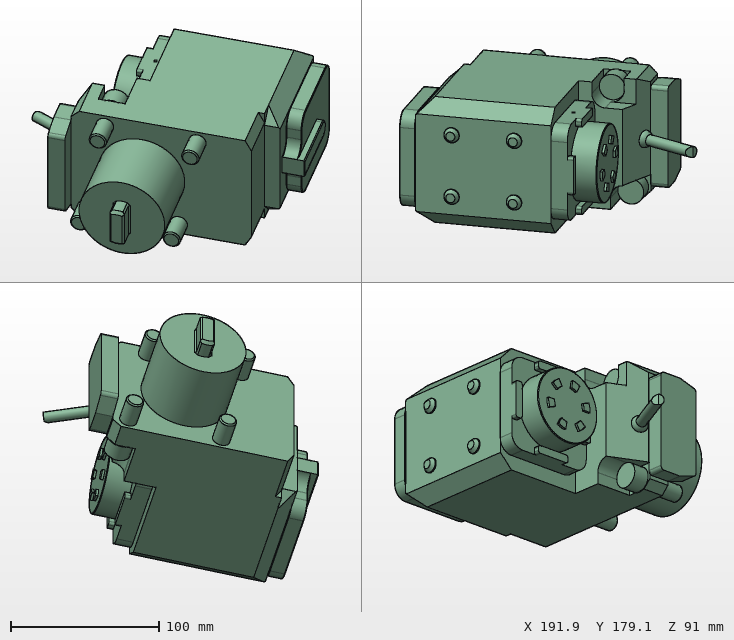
import cadquery as cq
import math


half_height = 44.7
base_left = -49.7
base_right = 76.7
base_thickness = 32.0
slope_start = 17.8
shelf_top = 45.5
shelf_left = -37.8
base_corner = 5.8
right_corner_x = 4.5
right_corner_z = 7.9

housing_left = -7.3
housing_right = 87.7
housing_back = 114.0
long_chamfer = 10.0
right_chamfer = 11.0

bolt_diameter = 12.0
bolt_end = -18.5
bolt_tip_chamfer = 1.0
head_diameter = 18.0
head_seat = 16.5
head_top = 28.5
head_pocket_diameter = 18.8
bolt_height = 36.5
upper_bolt_x = -25.9
lower_bolt_x = -39.0
bolt_spacing = 64.8

drum_diameter = 60.0
drum_end = -49.0
key_end = -61.5
key_width = 10.0
key_length = 28.4
key_foot_width = 1.2
key_foot_height = 1.5
key_corner = 2.9
key_side_chamfer = 1.2
key_end_chamfer = 2.1

block_left = -61.8
block_half_height = 36.0
block_front_half_height = 31.7
block_back = 17.3
block_front = -14.8
block_fillet = 2.9

cable_diameter = 7.7
cable_length = 43.7
cable_dome_diameter = 12.0
cable_y = 23.2
cable_bevel_length = 3.6
cable_tilt = math.radians(25.2)
cable_embed = 0.5

flange_y = 80.2
flange_side = 68.0
flange_corner = 10.0
left_flange_face = -18.8
tab_width = 26.9
tab_depth = 5.8
tab_height = 4.2
tab_fillet = 1.7
pin_hole_diameter = 2.1
pin_hole_depth = 2.0
pin_hole_x = -13.5

left_drum_diameter = 54.0
left_drum_face = -37.5
left_drum_chamfer = 0.5
nub_count = 6
nub_inner_radius = 13.5
nub_outer_radius = 19.0
nub_span = 21.0
nub_first_angle = 10.0
nub_height = 1.7

plate_right = 98.8
plate_chamfer = 0.5
tongue_half_width = 6.7
tongue_end = 36.3
tongue_fillet = 9.5
tongue_excess = 2.0
bar_right = 103.8
bar_chamfer = 0.8

stud_diameter = 10.5
stud_top_diameter = 6.3
stud_height = 3.6
stud_rim = 1.0
stud_spacing = 43.7
first_stud_x = 18.5


def box(x0, x1, y0, y1, z0, z1):
    return cq.Workplane("XY").box(x1 - x0, y1 - y0, z1 - z0, centered=False).translate((x0, y0, z0))


def y_cylinder(diameter, x, z, y0, y1):
    axis_start = cq.Vector(x, y0, z)
    return cq.Workplane(cq.Solid.makeCylinder(diameter / 2, y1 - y0, axis_start, cq.Vector(0, 1, 0)))


def x_cylinder(diameter, y, z, x0, x1):
    axis_start = cq.Vector(x0, y, z)
    return cq.Workplane(cq.Solid.makeCylinder(diameter / 2, x1 - x0, axis_start, cq.Vector(1, 0, 0)))


def yz_plane(x):
    return cq.Workplane("YZ", origin=(x, 0, 0))


def head_pocket(x, side, y0, y1):
    """Round-bottomed room for a bolt head, open outwards in Z."""
    z = side * bolt_height
    radius = head_pocket_diameter / 2
    pocket = y_cylinder(head_pocket_diameter, x, z, y0, y1)
    outer_z = side * half_height
    return pocket.union(box(x - radius, x + radius, y0, y1, min(z, outer_z), max(z, outer_z)))


def left_clearance(x, side, y0, y1):
    """Flat-bottomed cut that opens a head pocket to the left side of the base."""
    inner_z = side * (bolt_height - head_pocket_diameter / 2)
    outer_z = side * half_height
    return box(base_left, x, y0, y1, min(inner_z, outer_z), max(inner_z, outer_z))


def make_base():
    outline = [
        (base_left, 0),
        (base_right, 0),
        (base_right, base_thickness),
        (housing_left, base_thickness),
        (housing_left, shelf_top),
        (shelf_left, shelf_top),
        (base_left, slope_start),
    ]
    base = cq.Workplane("XY").workplane(offset=-half_height).polyline(outline).close()
    base = base.extrude(2 * half_height)
    corners = [
        (base_left + base_corner, half_height),
        (base_right - right_corner_x, half_height),
        (base_right, half_height - right_corner_z),
        (base_right, right_corner_z - half_height),
        (base_right - right_corner_x, -half_height),
        (base_left + base_corner, -half_height),
        (base_left, base_corner - half_height),
        (base_left, half_height - base_corner),
    ]
    envelope = cq.Workplane("XZ").polyline(corners).close().extrude(-shelf_top)
    return base.intersect(envelope)


def make_housing():
    chamfer_profile = [
        (base_thickness, half_height - long_chamfer),
        (base_thickness + long_chamfer, half_height),
        (housing_back - long_chamfer, half_height),
        (housing_back, half_height - long_chamfer),
        (housing_back, long_chamfer - half_height),
        (housing_back - long_chamfer, -half_height),
        (base_thickness + long_chamfer, -half_height),
        (base_thickness, long_chamfer - half_height),
    ]
    housing = yz_plane(housing_left).polyline(chamfer_profile).close()
    housing = housing.extrude(housing_right - housing_left)
    end_profile = [
        (housing_left, half_height),
        (housing_right - right_chamfer, half_height),
        (housing_right, half_height - right_chamfer),
        (housing_right, right_chamfer - half_height),
        (housing_right - right_chamfer, -half_height),
        (housing_left, -half_height),
    ]
    housing = housing.intersect(cq.Workplane("XZ").polyline(end_profile).close().extrude(-housing_back))
    root = box(housing_left, base_right, base_thickness, base_thickness + long_chamfer,
               -half_height, half_height)
    return housing.union(root)


def make_bolt(x, z):
    bolt = y_cylinder(bolt_diameter, x, z, bolt_end, head_seat)
    return bolt.faces("<Y").chamfer(bolt_tip_chamfer)


def make_drive_key():
    """Flat key with rounded ends, cut corners, a bevelled tip and a flared foot."""
    half_width = key_width / 2
    half_foot = half_width + key_foot_width
    half_tip = half_width - key_side_chamfer
    half_length = key_length / 2
    side_profile = [
        (-half_foot, drum_end),
        (-half_width, drum_end - key_foot_height),
        (-half_width, key_end + key_side_chamfer),
        (-half_tip, key_end),
        (half_tip, key_end),
        (half_width, key_end + key_side_chamfer),
        (half_width, drum_end - key_foot_height),
        (half_foot, drum_end),
    ]
    key = cq.Workplane("XY").polyline(side_profile).close().extrude(half_length, both=True)
    rounded_ends = y_cylinder(key_length, 0, 0, key_end, drum_end).faces("<Y").chamfer(key_end_chamfer)
    cut_corners = cq.Workplane("XZ", origin=(0, key_end, 0)).rect(2 * half_foot, key_length)
    cut_corners = cut_corners.extrude(key_end - drum_end).edges("|Y").chamfer(key_corner)
    return key.intersect(rounded_ends).intersect(cut_corners)


def make_connector_block():
    outline = [
        (block_back, block_half_height),
        (0, block_half_height),
        (block_front, block_front_half_height),
        (block_front, -block_front_half_height),
        (0, -block_half_height),
        (block_back, -block_half_height),
    ]
    block = yz_plane(block_left).polyline(outline).close().extrude(base_left - block_left)
    return block.edges("|X and (<Y or >Y)").fillet(block_fillet)


def make_cable():
    """Cable standing nearly square on the sloping left side, with its tip half bevelled."""
    lean = (shelf_left - base_left) / (shelf_top - slope_start)
    base_x = base_left + (cable_y - slope_start) * lean + cable_embed
    seat = cq.Plane(
        origin=(base_x, cable_y, 0),
        xDir=(math.sin(cable_tilt), math.cos(cable_tilt), 0),
        normal=(-math.cos(cable_tilt), math.sin(cable_tilt), 0),
    )
    radius = cable_diameter / 2
    cable = cq.Workplane(seat).circle(radius).extrude(cable_length)
    bevel = cq.Workplane(cq.Plane(origin=seat.origin, xDir=seat.xDir, normal=(0, 0, 1)))
    bevel = bevel.polyline([
        (0, cable_length),
        (radius, cable_length - cable_bevel_length),
        (radius, cable_length),
    ]).close().extrude(radius, both=True)
    dome = cq.Workplane(seat).sphere(cable_dome_diameter / 2)
    return cable.cut(bevel).union(dome)


def make_left_flange():
    flange = yz_plane(left_flange_face).center(flange_y, 0).rect(flange_side, flange_side)
    flange = flange.extrude(housing_left - left_flange_face).edges("|X").fillet(flange_corner)
    hole = cq.Workplane("XY").workplane(offset=flange_side / 2 - pin_hole_depth)
    hole = hole.center(pin_hole_x, flange_y).circle(pin_hole_diameter / 2).extrude(pin_hole_depth)
    flange = flange.cut(hole)
    tab = yz_plane(left_flange_face - tab_height).center(flange_y, (flange_side - tab_depth) / 2)
    tab = tab.rect(tab_width, tab_depth).extrude(tab_height)
    tab = tab.edges("|X").fillet(tab_fillet)
    axis_start = (0, flange_y, 0)
    axis_end = (1, flange_y, 0)
    for quarter in range(4):
        flange = flange.union(tab.rotate(axis_start, axis_end, 90 * quarter))
    return flange


def make_left_drum():
    drum = x_cylinder(left_drum_diameter, flange_y, 0, left_drum_face, left_flange_face)
    drum = drum.faces("<X").chamfer(left_drum_chamfer)

    def polar(radius, angle):
        turn = math.radians(angle)
        return (-radius * math.cos(turn), radius * math.sin(turn))

    for index in range(nub_count):
        middle = nub_first_angle + index * 360 / nub_count
        start = middle - nub_span / 2
        end = middle + nub_span / 2
        nub = (
            yz_plane(left_drum_face - nub_height)
            .center(flange_y, 0)
            .moveTo(*polar(nub_inner_radius, start))
            .lineTo(*polar(nub_outer_radius, start))
            .threePointArc(polar(nub_outer_radius, middle), polar(nub_outer_radius, end))
            .lineTo(*polar(nub_inner_radius, end))
            .threePointArc(polar(nub_inner_radius, middle), polar(nub_inner_radius, start))
            .close()
            .extrude(nub_height)
        )
        drum = drum.union(nub)
    return drum


def make_coupling_plate():
    shoulder = flange_y - flange_side / 2
    thickness = plate_right - housing_right
    square = yz_plane(housing_right).center(flange_y, 0).rect(flange_side, flange_side)
    square = square.extrude(thickness).edges("|X").fillet(flange_corner)
    rough_end = tongue_end - tongue_excess
    tongue = box(housing_right, plate_right, rough_end, flange_y, -tongue_half_width, tongue_half_width)
    plate = square.union(tongue)
    middle_x = (housing_right + plate_right) / 2
    for side in (1, -1):
        inner_corner = cq.selectors.NearestToPointSelector((middle_x, shoulder, side * tongue_half_width))
        plate = plate.edges("|X").edges(inner_corner).fillet(tongue_fillet)
    plate = plate.faces("<X or >X").edges().chamfer(plate_chamfer)
    trim = box(housing_right, plate_right, rough_end, tongue_end, -flange_side, flange_side)
    plate = plate.cut(trim)
    bar_width = 2 * tongue_half_width
    bar = box(housing_right, bar_right, tongue_end, flange_y, -tongue_half_width, tongue_half_width)
    bar = bar.union(x_cylinder(bar_width, flange_y, 0, plate_right, bar_right))
    bar = bar.faces(">X").chamfer(bar_chamfer)
    return plate.union(bar)


def make_stud(x, z):
    rim = y_cylinder(stud_diameter, x, z, housing_back, housing_back + stud_rim)
    cone = cq.Solid.makeCone(
        stud_diameter / 2, stud_top_diameter / 2, stud_height - stud_rim,
        cq.Vector(x, housing_back + stud_rim, z), cq.Vector(0, 1, 0),
    )
    return rim.union(cq.Workplane(cone))


body = make_base().union(make_housing())

body = body.cut(head_pocket(upper_bolt_x, 1, head_seat, shelf_top))
body = body.cut(left_clearance(upper_bolt_x, 1, base_thickness, shelf_top))
body = body.cut(head_pocket(lower_bolt_x, -1, head_seat, shelf_top))
body = body.cut(left_clearance(lower_bolt_x, -1, head_seat, shelf_top))

for first_x, bolt_z in ((upper_bolt_x, bolt_height), (lower_bolt_x, -bolt_height)):
    body = body.union(make_bolt(first_x, bolt_z))
    body = body.union(make_bolt(first_x + bolt_spacing, bolt_z))
    body = body.union(y_cylinder(head_diameter, first_x, bolt_z, head_seat, head_top))

body = body.union(y_cylinder(drum_diameter, 0, 0, drum_end, 0))
body = body.union(make_drive_key())
body = body.union(make_connector_block())
body = body.union(make_cable())
body = body.union(make_left_flange())
body = body.union(make_left_drum())
body = body.union(make_coupling_plate())

for x_position in (first_stud_x, first_stud_x + stud_spacing):
    for z_position in (stud_spacing / 2, -stud_spacing / 2):
        body = body.union(make_stud(x_position, z_position))

result = body